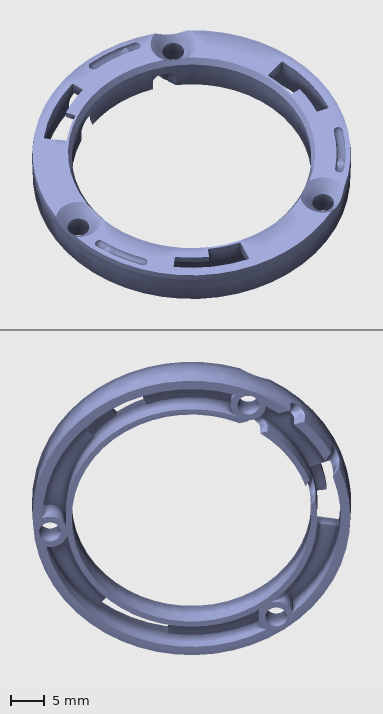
import cadquery as cq
import math

height = 5.5
outer_radius = 23.5
rim_height = 0.95
top_radius = 23.4
bottom_radius = 23.35
bore_radius = 17.62
bore_top_radius = 18.2
bore_chamfer_height = 0.95

channel_inner_radius = 18.5
channel_outer_radius = 21.95
roof_thickness = 1.97
channel_height = height - roof_thickness

repeat_count = 3
repeat_angle = 360 / repeat_count

window_angle = 90.0
window_wide_sweep = 15.4
window_narrow_sweep = 14.4
window_corner_radius = 0.25
ledge_radius = 20.0
ledge_thickness = 1.05

screw_angle = 30.0
screw_circle_radius = 20.95
screw_hole_radius = 1.6
countersink_radius = 3.35
countersink_depth = countersink_radius - screw_hole_radius
boss_radius = 2.6

groove_circle_radius = 22.0
groove_radius = 0.65
groove_start_angle = 164.6
groove_end_angle = 183.7
ridge_angle = 168.1
ridge_depth = 0.35
ridge_steep_run = 0.75
ridge_gentle_run = 1.5

passage_radius = 1.2
passage_height = 2.95
passage_angle = 20.0
passage_offset = 12.2


def polar(radius, angle):
    """Point at a radius and an angle in degrees."""
    turn = math.radians(angle)
    return (radius * math.cos(turn), radius * math.sin(turn))


def repeat(shape):
    """The shape copied evenly around the ring axis."""
    copies = shape
    for index in range(1, repeat_count):
        copies = copies.union(shape.rotate((0, 0, 0), (0, 0, 1), index * repeat_angle))
    return copies


def sector(inner, outer, start, end, floor, top):
    """Solid ring sector between two radii, two angles and two levels."""
    middle = (start + end) / 2
    return (
        cq.Workplane("XY", origin=(0, 0, floor))
        .moveTo(*polar(inner, start))
        .lineTo(*polar(outer, start))
        .threePointArc(polar(outer, middle), polar(outer, end))
        .lineTo(*polar(inner, end))
        .threePointArc(polar(inner, middle), polar(inner, start))
        .close()
        .extrude(top - floor)
    )


def ring_body():
    profile = [
        (bore_radius, 0),
        (bottom_radius, 0),
        (outer_radius, height - rim_height),
        (top_radius, height),
        (bore_top_radius, height),
        (bore_radius, height - bore_chamfer_height),
    ]
    return cq.Workplane("XZ").polyline(profile).close().revolve(360, (0, 0), (0, 1))


def channel():
    bosses = repeat(
        cq.Workplane("XY").center(*polar(screw_circle_radius, screw_angle))
        .circle(boss_radius).extrude(channel_height)
    )
    return (
        cq.Workplane("XY").circle(channel_outer_radius).circle(channel_inner_radius)
        .extrude(channel_height).cut(bosses)
    )


def windows():
    start = window_angle - window_narrow_sweep
    end = window_angle + window_wide_sweep
    opening = sector(channel_inner_radius, channel_outer_radius, start, end, channel_height, height)
    outer_corners = opening.edges("|Z").filter(
        lambda edge: math.hypot(edge.Center().x, edge.Center().y) > ledge_radius
    )
    opening = outer_corners.fillet(window_corner_radius)
    ledge = sector(
        channel_inner_radius, ledge_radius, start, window_angle, height - ledge_thickness, height
    )
    return repeat(opening.cut(ledge))


def screw_holes():
    profile = [
        (0, 0),
        (screw_hole_radius, 0),
        (screw_hole_radius, height - countersink_depth),
        (countersink_radius, height),
        (0, height),
    ]
    hole = cq.Workplane("XZ").polyline(profile).close().revolve(360, (0, 0), (0, 1))
    x, y = polar(screw_circle_radius, screw_angle)
    return repeat(hole.translate((x, y, 0)))


def groove_end(angle, side):
    """Rounded half end of a groove; side is 1 for the counterclockwise end and -1 for the other."""
    diagonal = groove_radius * math.sqrt(0.5)
    end = (
        cq.Workplane("XZ")
        .moveTo(0, height)
        .lineTo(0, height - groove_radius)
        .threePointArc((diagonal, height - diagonal), (groove_radius, height))
        .close()
        .revolve(180, (0, 0), (0, side))
    )
    x, y = polar(groove_circle_radius, angle)
    return end.rotate((0, 0, 0), (0, 0, 1), angle).translate((x, y, 0))


def detent_grooves():
    sweep = groove_end_angle - groove_start_angle
    groove = (
        cq.Workplane("XZ")
        .moveTo(groove_circle_radius - groove_radius, height)
        .threePointArc(
            (groove_circle_radius, height - groove_radius),
            (groove_circle_radius + groove_radius, height),
        )
        .close()
        .revolve(sweep, (0, 0), (0, 1))
        .rotate((0, 0, 0), (0, 0, 1), groove_start_angle)
    )
    groove = groove.union(groove_end(groove_start_angle, -1))
    groove = groove.union(groove_end(groove_end_angle, 1))
    crest = height - ridge_depth
    floor = height - groove_radius
    ridge = (
        cq.Workplane("XZ")
        .polyline([(-ridge_steep_run, floor), (0, crest), (ridge_gentle_run, floor)])
        .close().extrude(2 * groove_radius, both=True)
        .rotate((0, 0, 0), (0, 0, 1), ridge_angle + 90)
        .translate((*polar(groove_circle_radius, ridge_angle), 0))
    )
    return repeat(groove.cut(ridge))


def passages():
    arch_level = passage_height - passage_radius
    passage = (
        cq.Workplane("YZ")
        .moveTo(passage_offset - passage_radius, 0)
        .lineTo(passage_offset - passage_radius, arch_level)
        .threePointArc(
            (passage_offset, passage_height), (passage_offset + passage_radius, arch_level)
        )
        .lineTo(passage_offset + passage_radius, 0)
        .close()
        .extrude(-outer_radius)
        .rotate((0, 0, 0), (0, 0, 1), passage_angle)
    )
    return passage.union(passage.mirror("XZ"))


result = (
    ring_body()
    .cut(channel())
    .cut(windows())
    .cut(screw_holes())
    .cut(detent_grooves())
    .cut(passages(), clean=False)
)